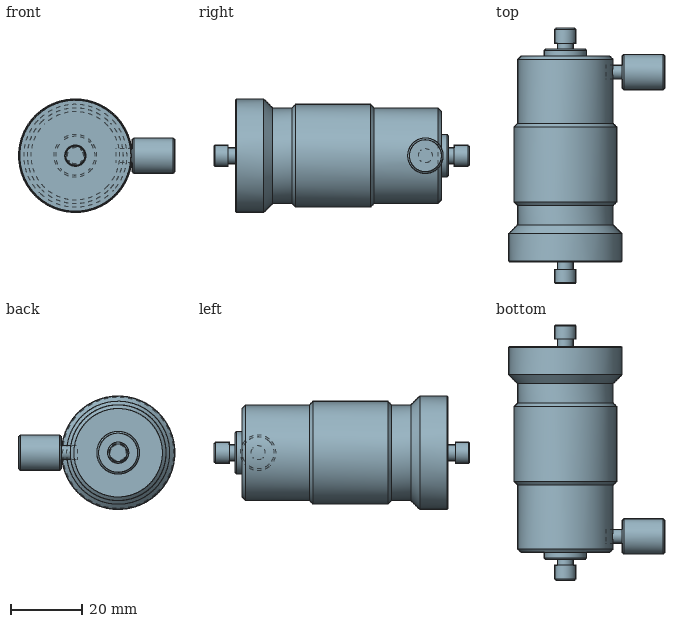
import cadquery as cq

flange_diameter = 32.0
flange_cylinder_end = 8.0
barrel_diameter = 26.9
sleeve_diameter = 29.0
sleeve_start = 16.0
sleeve_end = 39.0
barrel_end = 58.0
collar_diameter = 12.0
collar_length = 2.0
large_chamfer = 1.0
small_chamfer = 0.5
flange_chamfer = 0.35

neck_diameter = 4.5
head_diameter = 6.0
front_neck_length = 2.0
front_head_length = 4.0
rear_neck_length = 1.5
rear_head_length = 4.4
front_head_chamfer = 0.3

knob_diameter = 10.0
knob_length = 12.0
knob_start = 16.0
knob_axis_y = 53.5
stem_diameter = 3.95
stem_socket_depth = 2.0

flange_radius = flange_diameter / 2
barrel_radius = barrel_diameter / 2
stem_start = barrel_radius - stem_socket_depth


def turned_section(start, length, diameter):
    """Cylinder on the Y axis that runs from Y = start toward +Y."""
    plane = cq.Workplane("XZ", origin=(0, start, 0))
    return plane.circle(diameter / 2).extrude(-length)


def x_cylinder(start, length, diameter):
    """Cylinder on the knob axis that runs from X = start toward +X."""
    plane = cq.Workplane("YZ", origin=(start, knob_axis_y, 0))
    return plane.circle(diameter / 2).extrude(length)


def make_flange():
    """Flange with a small front chamfer and a 45 degree cone down to the barrel."""
    cone_end = flange_cylinder_end + flange_radius - barrel_radius
    profile = [
        (0, 0),
        (flange_radius - flange_chamfer, 0),
        (flange_radius, flange_chamfer),
        (flange_radius, flange_cylinder_end),
        (barrel_radius, cone_end),
        (0, cone_end),
    ]
    return cq.Workplane("XY").polyline(profile).close().revolve(360, (0, 0, 0), (0, 1, 0))


def make_barrel():
    """Barrel with a raised sleeve around it and a collar on its rear face."""
    barrel = turned_section(0, barrel_end, barrel_diameter).faces(">Y").chamfer(large_chamfer)
    sleeve = turned_section(sleeve_start, sleeve_end - sleeve_start, sleeve_diameter)
    sleeve = sleeve.edges().chamfer(large_chamfer)
    collar = turned_section(barrel_end, collar_length, collar_diameter)
    collar = collar.faces(">Y").chamfer(small_chamfer)
    return barrel.union(sleeve).union(collar)


def make_front_stub():
    head_start = -front_neck_length - front_head_length
    head = turned_section(head_start, front_head_length, head_diameter)
    head = head.faces("<Y").chamfer(front_head_chamfer)
    return head.union(turned_section(-front_neck_length, front_neck_length, neck_diameter))


def make_rear_stub():
    neck_start = barrel_end + collar_length
    neck = turned_section(neck_start, rear_neck_length, neck_diameter)
    head = turned_section(neck_start + rear_neck_length, rear_head_length, head_diameter)
    return neck.union(head.faces(">Y").chamfer(small_chamfer))


def make_stem():
    return x_cylinder(stem_start, knob_start - stem_start, stem_diameter)


def make_housing():
    """Main body with both end stubs and a blind socket for the knob stem."""
    housing = make_flange().union(make_barrel())
    housing = housing.union(make_front_stub()).union(make_rear_stub())
    return housing.cut(make_stem())


def make_knob():
    """Chamfered knob on a narrower stem."""
    grip = x_cylinder(knob_start, knob_length, knob_diameter).edges().chamfer(small_chamfer)
    return grip.union(make_stem())


housing = make_housing()
knob = make_knob()

result = cq.Compound.makeCompound([housing.val(), knob.val()])